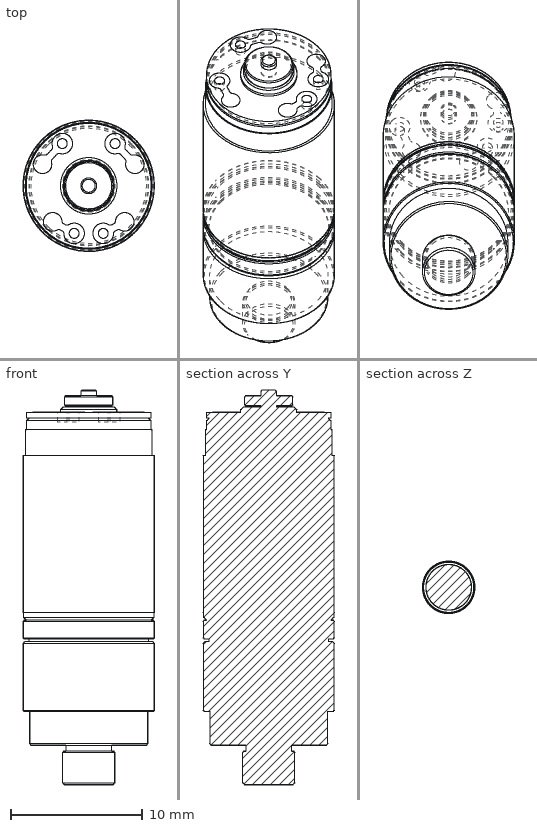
import cadquery as cq
import math

stud_top = 2.55
boss_bottom = 3.0
body_bottom = 5.55
body_top = 10.9
ring_bottom = 11.1
ring_top = 12.53
sleeve_step = 13.1
sleeve_top = 25.05
shoulder_top = 27.0
cap_seat = 27.9
cap_top = 28.35
flange_top = 28.75
head_bottom = 28.82
head_top = 29.6
total_height = 30.05

stud_diameter = 4.0
stud_neck_diameter = 3.5
boss_diameter = 9.0
body_diameter = 10.0
groove_diameter = 9.1
sleeve_end_diameter = 9.95
shoulder_diameter = 9.65
cap_diameter = 9.5
flange_diameter = 4.3
head_diameter = 3.7
pin_diameter = 1.2

fine_chamfer = 0.1
edge_chamfer = 0.15
seat_chamfer = 0.18
sleeve_chamfer = 0.2
pin_chamfer = 0.105
flange_chamfer = 0.2
boss_chamfer = 0.12

hole_diameter = 0.75
hole_depth = hole_diameter
hole_circle_radius = 3.8
pad_circle_radius = 3.88
hole_lobe_diameter = 1.55
outer_lobe_diameter = 1.4
pad_neck_width = 0.55
pad_neck_fillet = 0.25
pad_height = 0.01
pad_angles = [(58, 25), (-73, -45)]


def disc(bottom, top, diameter, bottom_chamfer=0, top_chamfer=0):
    """Coaxial cylinder between two levels, with optional chamfers on its end edges."""
    body = cq.Workplane("XY").workplane(offset=bottom).circle(diameter / 2).extrude(top - bottom)
    if bottom_chamfer:
        body = body.faces("<Z").chamfer(bottom_chamfer)
    if top_chamfer:
        body = body.faces(">Z").chamfer(top_chamfer)
    return body


def polar_point(radius, angle):
    """Point at a radius and an angle in degrees around the axis."""
    return (radius * math.cos(math.radians(angle)), radius * math.sin(math.radians(angle)))


def contact_pad(hole_angle, lobe_angle):
    """Dumbbell-shaped pad: a lobe around the hole joined to an outer lobe by a narrow neck."""
    hole_x, hole_y = polar_point(hole_circle_radius, hole_angle)
    lobe_x, lobe_y = polar_point(pad_circle_radius, lobe_angle)
    neck_length = math.hypot(lobe_x - hole_x, lobe_y - hole_y)
    neck_angle = math.degrees(math.atan2(lobe_y - hole_y, lobe_x - hole_x))
    top_face = cq.Workplane("XY").workplane(offset=cap_top)
    hole_lobe = top_face.circle(hole_lobe_diameter / 2).extrude(pad_height)
    outer_lobe = top_face.center(neck_length, 0).circle(outer_lobe_diameter / 2).extrude(pad_height)
    neck = top_face.center(neck_length / 2, 0).rect(neck_length, pad_neck_width).extrude(pad_height)
    pad = hole_lobe.union(outer_lobe).union(neck)
    neck_corners = cq.selectors.BoxSelector(
        (0, -pad_neck_width, cap_top), (neck_length, pad_neck_width, cap_top + pad_height)
    )
    pad = pad.edges("|Z").edges(neck_corners).fillet(pad_neck_fillet)
    return pad.rotate((0, 0, 0), (0, 0, 1), neck_angle).translate((hole_x, hole_y, 0))


def contact_hole(hole_angle):
    """Cutter for one blind contact hole, starting at the top of its pad."""
    hole_bottom = cap_top - hole_depth
    hole_x, hole_y = polar_point(hole_circle_radius, hole_angle)
    return disc(hole_bottom, cap_top + pad_height, hole_diameter).translate((hole_x, hole_y, 0))


sections = [
    disc(0, stud_top, stud_diameter, edge_chamfer, fine_chamfer),
    disc(stud_top, boss_bottom, stud_neck_diameter),
    disc(boss_bottom, body_bottom, boss_diameter, bottom_chamfer=boss_chamfer),
    disc(body_bottom, body_top, body_diameter, fine_chamfer, edge_chamfer),
    disc(body_top, ring_bottom, groove_diameter),
    disc(ring_bottom, ring_top, body_diameter, fine_chamfer, fine_chamfer),
    disc(ring_top, sleeve_step, sleeve_end_diameter, bottom_chamfer=sleeve_chamfer),
    disc(sleeve_step, sleeve_top, body_diameter),
    disc(sleeve_top, shoulder_top, shoulder_diameter),
    disc(shoulder_top, cap_seat, cap_diameter, top_chamfer=seat_chamfer),
    disc(cap_seat, cap_top, cap_diameter),
    disc(cap_top, flange_top, flange_diameter, top_chamfer=flange_chamfer),
    disc(flange_top, head_bottom, pin_diameter),
    disc(head_bottom, head_top, head_diameter, fine_chamfer, fine_chamfer),
    disc(head_top, total_height, pin_diameter, top_chamfer=pin_chamfer),
]
result = sections[0]
for section in sections[1:]:
    result = result.union(section)

for hole_angle, lobe_angle in pad_angles:
    pad = contact_pad(hole_angle, lobe_angle)
    hole = contact_hole(hole_angle)
    result = result.union(pad).union(pad.mirror("YZ"))
    result = result.cut(hole).cut(hole.mirror("YZ"))